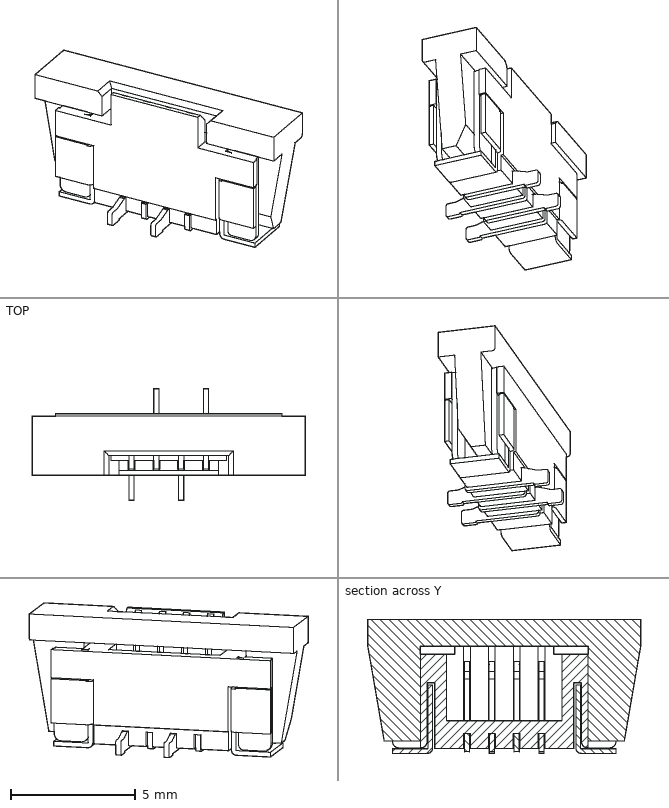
import cadquery as cq
import math


slider_length = 11.0
total_height = 5.4
tail_span = 4.5
cover_y = 1.24

head_bottom = 4.31
head_back_y = 1.14
head_back_radius = 0.13
notch_half_width = 2.41
notch_back_y = -0.45
notch_chamfer = 0.2
leg_inner_x = 3.38
leg_tip_x = 4.84
leg_bottom = 0.5
leg_half_depth = 0.55
leg_bevel_width = 0.48
leg_bevel_height = 0.8

housing_top = 4.0
body_bottom = 0.2
body_half_width = 2.8
body_y = 1.14
front_cover_bottom = 0.9
wing_half_width = 4.56
wing_bottom = 2.85
tab_half_width = 2.0
tab_inner_y = -0.65
tab_bevel = 0.4
ear_inner_x = 3.1
ear_outer_x = 4.51
ear_half_depth = 0.95
ear_bottom = 0.22
ear_radius = 0.28
leg_channel_half_depth = 0.72
cable_slot_half_width = 2.32
cable_slot_floor = 1.32

sheet = 0.2
bend_radius = 0.22
nail_inner_x = 2.88
nail_wall_half_depth = 1.02
nail_wall_top = 2.76
flap_top = 2.8
flap_bottom = 0.99

pin_pitch = 1.0
pin_count = 4
pin_width = 0.22
pin_slot_width = 0.26
pin_base_top = 0.79
pin_base_bottom = 0.07
front_pin_end_y = 0.99
back_pin_end_y = 1.23
end_radius = 0.11
tail_root_y = 1.23
tail_top = 0.6
tail_flat = 0.45
tail_bend_radius = 0.24
tail_tip_radius = 0.1
foot_length = 0.62
foot_radius = 0.04
arm_y = -0.99
arm_thickness = 0.28
tip_crest_y = -0.67
tip_end_y = -0.42
tip_top = 3.74
tip_radius = 0.11
tip_back_slope = 26
tip_lead_slope = 60


def box(x0, x1, y0, y1, z0, z1):
    """Block between two opposite corners."""
    return cq.Workplane("XY").box(x1 - x0, y1 - y0, z1 - z0, centered=False).translate((x0, y0, z0))


def centred_box(half_width, y0, y1, z0, z1):
    """Block symmetric about X = 0."""
    return box(-half_width, half_width, y0, y1, z0, z1)


def prism_along_y(points, half_depth):
    """Outline of (x, z) points, extruded symmetrically about Y = 0."""
    return cq.Workplane("XZ").polyline(points).close().extrude(half_depth, both=True)


def prism_along_x(points, half_width):
    """Outline of (y, z) points, extruded symmetrically about X = 0."""
    return cq.Workplane("YZ").polyline(points).close().extrude(half_width, both=True)


def both_sides(shape):
    """The shape and its mirror image across X = 0."""
    return [shape, shape.mirror("YZ")]


def pin_places():
    """X position of every pin, with the side its tail leaves from: -1 for -Y, +1 for +Y."""
    first_x = -pin_pitch * (pin_count - 1) / 2
    return [(first_x + i * pin_pitch, -1 if i % 2 == 0 else 1) for i in range(pin_count)]



def make_slider_leg():
    """Tapered leg at +X, bevelled at its -Y foot."""
    leg = prism_along_y(
        [
            (leg_inner_x, head_bottom),
            (slider_length / 2, head_bottom),
            (leg_tip_x, leg_bottom),
            (leg_inner_x, leg_bottom),
        ],
        leg_half_depth,
    )
    bevel = prism_along_x(
        [
            (-leg_half_depth, leg_bottom),
            (-leg_half_depth + leg_bevel_width, leg_bottom),
            (-leg_half_depth, leg_bottom + leg_bevel_height),
        ],
        slider_length,
    )
    return leg.cut(bevel)


def make_slider():
    head = centred_box(slider_length / 2, -cover_y, head_back_y, head_bottom, total_height)
    head = head.faces(">Y").edges("<Z").fillet(head_back_radius)
    notch = centred_box(notch_half_width, -cover_y, notch_back_y, head_bottom, total_height)
    head = head.cut(notch)
    margin = notch_chamfer
    notch_rim = cq.selectors.BoxSelector(
        (-notch_half_width - margin, -cover_y + margin, total_height - margin),
        (notch_half_width + margin, notch_back_y + margin, total_height + margin),
    )
    slider = head.edges(notch_rim).chamfer(notch_chamfer)
    for leg in both_sides(make_slider_leg()):
        slider = slider.union(leg)
    return slider



def make_ear():
    """Post at +X with rounded corners and a channel for the slider leg."""
    plan = box(ear_inner_x, ear_outer_x, -ear_half_depth, ear_half_depth, ear_bottom, housing_top)
    plan = plan.edges("|Z and <X").fillet(ear_radius)
    profile = box(ear_inner_x, ear_outer_x, -ear_half_depth, ear_half_depth, ear_bottom, housing_top)
    profile = profile.edges("|Y and <Z").fillet(ear_radius)
    channel = box(
        leg_inner_x, ear_outer_x, -leg_channel_half_depth, leg_channel_half_depth, ear_bottom, housing_top
    )
    return plan.intersect(profile).cut(channel)


def make_tab():
    """Upright tab at the front, bevelled on its inner top edge."""
    tab = centred_box(tab_half_width, -cover_y, tab_inner_y, housing_top, total_height)
    return tab.faces(">Y").edges(">Z").chamfer(tab_bevel)


def make_housing():
    housing = centred_box(body_half_width, -body_y, body_y, body_bottom, housing_top)
    housing = housing.union(centred_box(body_half_width, -cover_y, 0, front_cover_bottom, housing_top))
    housing = housing.union(centred_box(body_half_width, 0, cover_y, flap_bottom, housing_top))
    housing = housing.union(centred_box(ear_inner_x, -cover_y, cover_y, wing_bottom, housing_top))
    for y0, y1 in ((-cover_y, -ear_half_depth), (ear_half_depth, cover_y)):
        housing = housing.union(centred_box(wing_half_width, y0, y1, wing_bottom, housing_top))
    for ear in both_sides(make_ear()):
        housing = housing.union(ear)
    housing = housing.union(make_tab())
    housing = housing.cut(
        centred_box(cable_slot_half_width, tab_inner_y, -tab_inner_y, cable_slot_floor, housing_top)
    )
    slot = centred_box(pin_slot_width / 2, -cover_y, cover_y, body_bottom, pin_base_top)
    groove = centred_box(pin_slot_width / 2, arm_y, tab_inner_y, pin_base_top, total_height)
    for x, _ in pin_places():
        housing = housing.cut(slot.translate((x, 0, 0))).cut(groove.translate((x, 0, 0)))
    return housing



def make_nail():
    """Bent sheet at +X: board plate, upright wall and two flaps outside the housing ear."""
    inner_radius = bend_radius - sheet
    wall_outer_x = nail_inner_x + sheet
    flap_start_x = nail_inner_x + bend_radius

    foot = box(nail_inner_x, ear_outer_x, -nail_wall_half_depth, nail_wall_half_depth, 0, nail_wall_top)
    foot = foot.edges("|Y and <X and <Z").fillet(bend_radius)
    foot_void = box(wall_outer_x, ear_outer_x, -cover_y, cover_y, sheet, nail_wall_top)
    foot = foot.cut(foot_void.edges("|Y and <X and <Z").fillet(inner_radius))

    flap_inner_y = cover_y - sheet
    wrap = box(nail_inner_x, wing_half_width, -cover_y, cover_y, flap_bottom, nail_wall_top)
    wrap = wrap.edges("|Z and <X").fillet(bend_radius)
    wrap_void = box(wall_outer_x, wing_half_width, -flap_inner_y, flap_inner_y, flap_bottom, nail_wall_top)
    wrap = wrap.cut(wrap_void.edges("|Z and <X").fillet(inner_radius))

    nail = foot.union(wrap)
    for y0 in (-cover_y, flap_inner_y):
        nail = nail.union(box(flap_start_x, wing_half_width, y0, y0 + sheet, flap_bottom, flap_top))
    return nail



def make_pin_base(end_y):
    """Bar along the bottom slot, from a solder tail at -Y to a plain end at end_y."""
    tail_end = -tail_span / 2
    flat_end = tail_end + tail_flat
    foot_end = tail_end + foot_length
    base = prism_along_x(
        [
            (tail_end, 0),
            (foot_end, 0),
            (foot_end, pin_base_bottom),
            (end_y, pin_base_bottom),
            (end_y, pin_base_top),
            (-tail_root_y, pin_base_top),
            (flat_end, tail_top),
            (tail_end, tail_top),
        ],
        pin_width / 2,
    )
    base = base.edges("|X and <Y").fillet(tail_tip_radius)
    base = base.faces(">Y").edges("<Z").fillet(end_radius)
    bend = cq.selectors.NearestToPointSelector((0, flat_end, tail_top))
    base = base.edges(bend).fillet(tail_bend_radius)
    foot_corner = cq.selectors.NearestToPointSelector((0, foot_end, 0))
    return base.edges(foot_corner).fillet(foot_radius)


def make_pin_arm():
    """Upright arm whose hooked tip reaches back over the cable slot."""
    front_z = tip_top - (tip_crest_y - arm_y) * math.tan(math.radians(tip_back_slope))
    end_z = tip_top - (tip_end_y - tip_crest_y) * math.tan(math.radians(tip_lead_slope))
    inner_y = arm_y + arm_thickness
    hook_z = end_z - (tip_end_y - inner_y)
    arm = prism_along_x(
        [
            (arm_y, pin_base_top),
            (inner_y, pin_base_top),
            (inner_y, hook_z),
            (tip_end_y, end_z),
            (tip_crest_y, tip_top),
            (arm_y, front_z),
        ],
        pin_width / 2,
    )
    return arm.edges("|X and >Z").fillet(tip_radius)


def make_pin(x, tail_side):
    if tail_side < 0:
        base = make_pin_base(front_pin_end_y)
    else:
        base = make_pin_base(back_pin_end_y).mirror("XZ")
    return base.union(make_pin_arm()).translate((x, 0, 0))


slider = make_slider()
housing = make_housing()
nails = both_sides(make_nail())
pins = [make_pin(x, tail_side) for x, tail_side in pin_places()]

result = cq.Compound.makeCompound(
    [
        housing.val(),
        slider.val(),
        *[nail.val() for nail in nails],
        *[pin.val() for pin in pins],
    ]
)